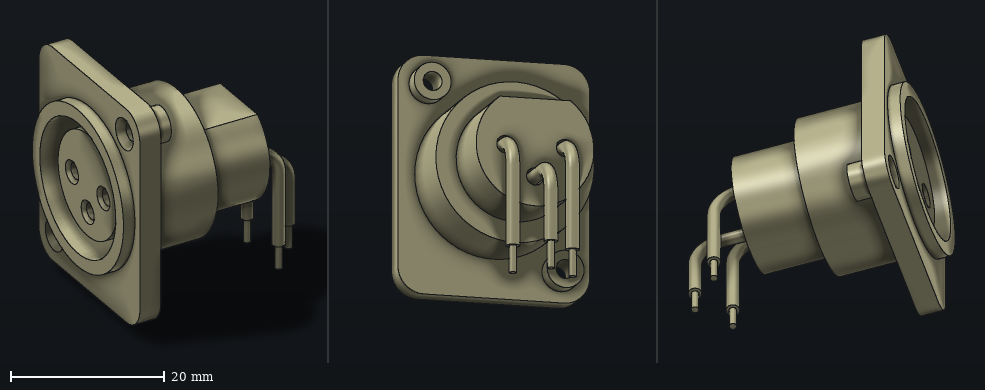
import cadquery as cq


OVERALL_HEIGHT = 34.0

PLATE_WIDTH = 26.0
PLATE_HEIGHT = 32.0
PLATE_CORNER_RADIUS = 3.5
PLATE_FRONT = 1.75
PLATE_BACK = 4.9

RIM_DIAMETER = 23.5
BARREL_DIAMETER = 21.5
BORE_DIAMETER = 19.5
BARREL_BACK = 14.9
BARREL_WALL = (BARREL_DIAMETER - BORE_DIAMETER) / 2
BORE_FLOOR = BARREL_BACK - BARREL_WALL

INSERT_DIAMETER = 15.2
INSERT_FRONT = 1.5
BLOCK_DIAMETER = 15.98
BLOCK_FLAT_HEIGHT = 6.4
BLOCK_BACK = 24.38

SCREW_X = 9.0
SCREW_Z = 12.0
SCREW_POSITIONS = [(SCREW_X, SCREW_Z), (-SCREW_X, -SCREW_Z)]
BOSS_DIAMETER = 5.0
BOSS_BACK = 7.38
SCREW_HOLE_DIAMETER = 2.5
SCREW_SINK_DIAMETER = 4.52

CONTACT_SPACING = 4.05
CONTACT_HOLE_DIAMETER = 2.3
CONTACT_SINK_DIAMETER = 3.33

PIN_DIAMETER = 1.8
TAIL_DIAMETER = 1.0
BEND_RADIUS = 3.6
PIN_ROW_OFFSET = 3.88
PIN_FRONT = BARREL_BACK
UPPER_LEG_Y = BLOCK_BACK + BEND_RADIUS
LOWER_LEG_Y = UPPER_LEG_Y + PIN_ROW_OFFSET
TAIL_LENGTH = 3.6
TAIL_BOTTOM = PLATE_HEIGHT / 2 - OVERALL_HEIGHT
LEG_BOTTOM = TAIL_BOTTOM + TAIL_LENGTH

CONTACTS = [
    (-CONTACT_SPACING, 0, UPPER_LEG_Y),
    (0, -CONTACT_SPACING, LOWER_LEG_Y),
    (CONTACT_SPACING, 0, UPPER_LEG_Y),
]


def section_plane(y):
    """XZ sketch plane at depth y, facing the front (-Y)."""
    return cq.Workplane("XZ", origin=(0, y, 0))


def cylinder(diameter, front, back, x=0, z=0):
    """Cylinder along Y between two depths."""
    return section_plane(front).center(x, z).circle(diameter / 2).extrude(front - back)


def countersunk_hole(x, z, front, back, diameter, sink_diameter):
    """Cutter for a hole along Y with a 45-degree countersink at its front."""
    sink_depth = (sink_diameter - diameter) / 2
    sink = cq.Workplane(
        obj=cq.Solid.makeCone(
            sink_diameter / 2, diameter / 2, sink_depth, cq.Vector(x, front, z), cq.Vector(0, 1, 0)
        )
    )
    return cylinder(diameter, front, back, x, z).union(sink)


def make_plate():
    return (
        section_plane(PLATE_FRONT)
        .rect(PLATE_WIDTH, PLATE_HEIGHT)
        .extrude(PLATE_FRONT - PLATE_BACK)
        .edges("|Y")
        .fillet(PLATE_CORNER_RADIUS)
    )


def make_rear_block():
    """Round block with its top cut to a flat."""
    block = cylinder(BLOCK_DIAMETER, BARREL_BACK, BLOCK_BACK)
    above_flat = (
        section_plane(BARREL_BACK)
        .center(0, BLOCK_FLAT_HEIGHT + BLOCK_DIAMETER / 2)
        .rect(BLOCK_DIAMETER, BLOCK_DIAMETER)
        .extrude(BARREL_BACK - BLOCK_BACK)
    )
    return block.cut(above_flat)


def make_housing():
    housing = make_plate()
    housing = housing.union(cylinder(RIM_DIAMETER, 0, PLATE_FRONT))
    housing = housing.union(cylinder(BARREL_DIAMETER, PLATE_BACK, BARREL_BACK))
    for x, z in SCREW_POSITIONS:
        housing = housing.union(cylinder(BOSS_DIAMETER, PLATE_BACK, BOSS_BACK, x, z))

    housing = housing.cut(cylinder(BORE_DIAMETER, 0, BORE_FLOOR))
    housing = housing.union(cylinder(INSERT_DIAMETER, INSERT_FRONT, BARREL_BACK))
    housing = housing.union(make_rear_block())

    for x, z in SCREW_POSITIONS:
        housing = housing.cut(
            countersunk_hole(x, z, PLATE_FRONT, BOSS_BACK, SCREW_HOLE_DIAMETER, SCREW_SINK_DIAMETER)
        )
    for x, z, _ in CONTACTS:
        housing = housing.cut(
            countersunk_hole(x, z, INSERT_FRONT, BLOCK_BACK, CONTACT_HOLE_DIAMETER, CONTACT_SINK_DIAMETER)
        )
    return housing


def make_pin(x, z, leg_y):
    """Pin running back along Y, bent down through 90 degrees, with a thin tail."""
    bend_start = leg_y - BEND_RADIUS
    bend_end_z = z - BEND_RADIUS
    straight = cylinder(PIN_DIAMETER, PIN_FRONT, bend_start, x, z)
    bend = (
        cq.Workplane("XZ", origin=(x, bend_start, z))
        .circle(PIN_DIAMETER / 2)
        .revolve(90, (0.35, -BEND_RADIUS), (0, -BEND_RADIUS))
    )
    leg = (
        cq.Workplane("XY", origin=(x, leg_y, LEG_BOTTOM))
        .circle(PIN_DIAMETER / 2)
        .extrude(bend_end_z - LEG_BOTTOM)
    )
    tail = (
        cq.Workplane("XY", origin=(x, leg_y, TAIL_BOTTOM))
        .circle(TAIL_DIAMETER / 2)
        .extrude(TAIL_LENGTH)
    )
    return straight.union(bend).union(leg).union(tail)


housing = make_housing()
pins = [make_pin(x, z, leg_y) for x, z, leg_y in CONTACTS]

result = cq.Compound.makeCompound([housing.solids().val(), *[pin.solids().val() for pin in pins]])